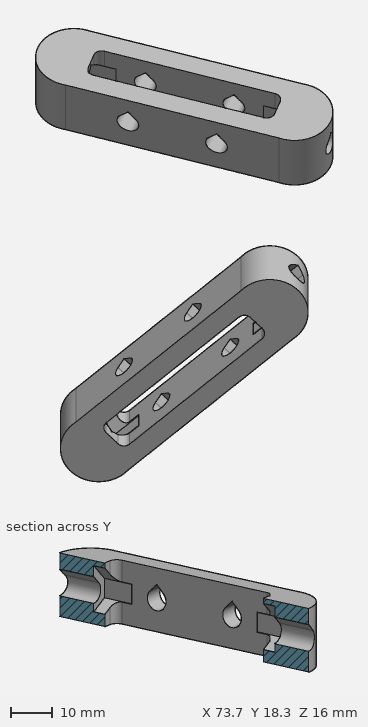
import cadquery as cq
import math

LENGTH = 73.7
HEIGHT = 16.0
STRAIGHT_LENGTH = 53.5
FLAT_WIDTH = 18.2

SLOT_LENGTH = 46.8
SLOT_WIDTH = 8.1
SLOT_CORNER_RADIUS = 2.0

HOLE_RADIUS = 2.7
CROSS_HOLE_SPACING = 22.25

NUT_WIDTH = 8.4
NUT_POCKET_LENGTH = 8.2
NUT_POCKET_START = 18.5


def make_body():
    half_straight = STRAIGHT_LENGTH / 2
    half_width = FLAT_WIDTH / 2
    return (
        cq.Workplane("XY")
        .workplane(offset=-HEIGHT / 2)
        .moveTo(-half_straight, -half_width)
        .lineTo(half_straight, -half_width)
        .threePointArc((LENGTH / 2, 0), (half_straight, half_width))
        .lineTo(-half_straight, half_width)
        .threePointArc((-LENGTH / 2, 0), (-half_straight, -half_width))
        .close()
        .extrude(HEIGHT)
    )


def make_slot():
    return (
        cq.Workplane("XY")
        .box(SLOT_LENGTH, SLOT_WIDTH, HEIGHT)
        .edges("|Z")
        .fillet(SLOT_CORNER_RADIUS)
    )


def teardrop(plane, length):
    """Teardrop bar centred on the origin, with its point towards +Z."""
    tangent = HOLE_RADIUS * math.sqrt(0.5)
    return (
        cq.Workplane(plane)
        .moveTo(tangent, tangent)
        .lineTo(0, HOLE_RADIUS * math.sqrt(2))
        .lineTo(-tangent, tangent)
        .threePointArc((0, -HOLE_RADIUS), (tangent, tangent))
        .close()
        .extrude(length / 2, both=True)
    )


def nut_pocket():
    """Hexagonal recess along +X whose upper corner is raised to a 45 degree roof."""
    half_width = NUT_WIDTH / 2
    corner_height = half_width / math.sqrt(3)
    outline = [
        (half_width, corner_height),
        (0, corner_height + half_width),
        (-half_width, corner_height),
        (-half_width, -corner_height),
        (0, -2 * corner_height),
        (half_width, -corner_height),
    ]
    return (
        cq.Workplane("YZ")
        .workplane(offset=NUT_POCKET_START)
        .polyline(outline)
        .close()
        .extrude(NUT_POCKET_LENGTH)
    )


result = make_body().cut(make_slot())

result = result.cut(teardrop("YZ", LENGTH))
for side in (-1, 1):
    cross_hole = teardrop("XZ", LENGTH).translate((side * CROSS_HOLE_SPACING / 2, 0, 0))
    result = result.cut(cross_hole)

right_pocket = nut_pocket()
result = result.cut(right_pocket).cut(right_pocket.mirror("YZ"))